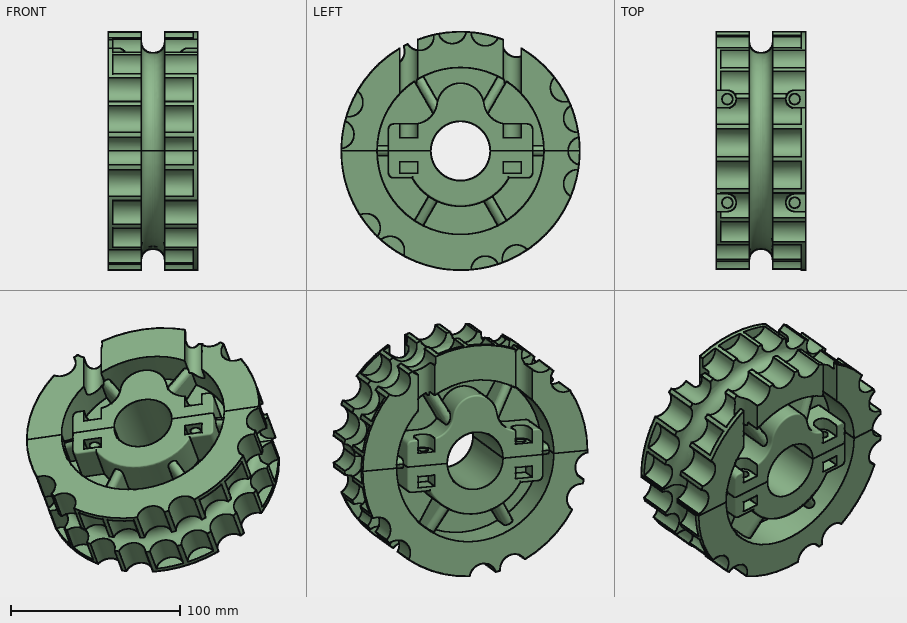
import cadquery as cq
import math


rim_radius = 70.5
wheel_width = 53.0
rim_inner_radius = 49.4
half_width = wheel_width / 2

groove_width = 13.7
groove_floor_width = 1.4
groove_floor_radius = 58.1
groove_corner_radius = (groove_width - groove_floor_width) / 2

pocket_count = 23
pocket_pitch = 360 / pocket_count
pocket_radius = 8.5
pocket_floor_radius = 63.6
pocket_wall = 2.8
pockets_closed_at_minus_x = (3, 4, 8, 9, 12, 13, 16, 17, 20, 21)

web_thickness = 8.0
rib_count = 6
first_rib_angle = 30
rib_width = 5.9
rib_inner_radius = 22.5
rib_outer_radius = 50.8
rib_inner_length = 47.8
rib_outer_length = 36.1

bore_radius = 17.5
hub_lower_radius = 32.7
hub_top = 40.0
hub_bump_radius = 14.0
ear_half_span = 42.6
ear_half_height = 16.0
ear_corner_radius = 3.0
hub_edge_fillet = 1.0

bolt_y = 30.6
bolt_x = 19.9
bolt_hole_diameter = 6.3
bolt_slot_width = 10.5
bolt_seat_height = 7.9
nut_slot_top = -6.5
nut_slot_bottom = -13.3

cut_clearance = 1.4


def disc(radius, thickness):
    """Disc on the wheel axis, centred on X = 0."""
    return cq.Workplane("YZ").circle(radius).extrude(thickness / 2, both=True)


def make_groove():
    """Ring of material to remove, turned about the X axis."""
    side = groove_width / 2
    floor = groove_floor_width / 2
    corner_top = groove_floor_radius + groove_corner_radius
    outside = rim_radius + cut_clearance
    bend = groove_corner_radius * math.sqrt(0.5)
    mid_x = floor + bend
    mid_radius = corner_top - bend
    return (
        cq.Workplane("XY")
        .moveTo(-side, outside)
        .lineTo(-side, corner_top)
        .threePointArc((-mid_x, mid_radius), (-floor, groove_floor_radius))
        .lineTo(floor, groove_floor_radius)
        .threePointArc((mid_x, mid_radius), (side, corner_top))
        .lineTo(side, outside)
        .close()
        .revolve(360, (0, 0, 0), (1, 0, 0))
    )


def make_pocket_cutter(index):
    """Round tooth pocket, open at one face and closed by a wall at the other."""
    centre_radius = pocket_floor_radius + pocket_radius
    start = -half_width
    if index in pockets_closed_at_minus_x:
        start += pocket_wall
    return (
        cq.Workplane("YZ", origin=(start, 0, 0))
        .center(-centre_radius, 0)
        .circle(pocket_radius)
        .extrude(wheel_width - pocket_wall)
        .rotate((0, 0, 0), (1, 0, 0), -index * pocket_pitch)
    )


def make_rim():
    rim = disc(rim_radius, wheel_width).cut(disc(rim_inner_radius, wheel_width))
    rim = rim.cut(make_groove())
    for index in range(pocket_count):
        rim = rim.cut(make_pocket_cutter(index))
    return rim


def make_rib(angle):
    """Radial rib with rounded crests that slope down from the hub to the rim."""
    return (
        cq.Workplane("XY", origin=(0, 0, rib_inner_radius))
        .slot2D(rib_inner_length, rib_width)
        .workplane(offset=rib_outer_radius - rib_inner_radius)
        .slot2D(rib_outer_length, rib_width)
        .loft(ruled=True)
        .rotate((0, 0, 0), (1, 0, 0), angle)
    )


def make_hub():
    """Hub with two clamping ears, a round lower half and a bump on top."""
    ears = (
        cq.Workplane("YZ")
        .rect(2 * ear_half_span, 2 * ear_half_height)
        .extrude(half_width, both=True)
        .edges("|X")
        .fillet(ear_corner_radius)
    )
    lower_round = (
        cq.Workplane("YZ")
        .moveTo(-hub_lower_radius, 0)
        .threePointArc((0, -hub_lower_radius), (hub_lower_radius, 0))
        .close()
        .extrude(half_width, both=True)
    )

    crown_z = hub_top - hub_bump_radius
    flank_z = ear_half_height + hub_bump_radius
    flank_y = math.sqrt((2 * hub_bump_radius) ** 2 - (flank_z - crown_z) ** 2)
    blend_y = flank_y / 2
    blend_z = (crown_z + flank_z) / 2
    bend = hub_bump_radius * math.sqrt(0.5)
    flank_mid_y = flank_y - bend
    flank_mid_z = flank_z - bend
    bump = (
        cq.Workplane("YZ")
        .moveTo(-flank_y, 0)
        .lineTo(-flank_y, ear_half_height)
        .threePointArc((-flank_mid_y, flank_mid_z), (-blend_y, blend_z))
        .threePointArc((0, hub_top), (blend_y, blend_z))
        .threePointArc((flank_mid_y, flank_mid_z), (flank_y, ear_half_height))
        .lineTo(flank_y, 0)
        .close()
        .extrude(half_width, both=True)
    )
    hub = ears.union(lower_round).union(bump).clean()
    return hub.faces("<X or >X").edges().fillet(hub_edge_fillet)


def make_wheel():
    """Whole wheel before it is split and drilled for the bolts."""
    wheel = make_rim().union(disc(rim_inner_radius, web_thickness))
    wheel = wheel.union(make_hub())
    for index in range(rib_count):
        wheel = wheel.union(make_rib(first_rib_angle + index * 360 / rib_count))
    return wheel.cut(disc(bore_radius, wheel_width))


def make_slot_block(x_side, y_side, reach, bottom, top):
    """Square slot that runs in from beyond the wheel face to the distance reach from X = 0."""
    length = half_width + cut_clearance - reach
    return (
        cq.Workplane("XY", origin=(x_side * (reach + length / 2), y_side * bolt_y, bottom))
        .rect(length, bolt_slot_width)
        .extrude(top - bottom)
    )


def make_bolt_bore(x_side, y_side, diameter, bottom, top):
    """Upright cylinder on a bolt axis."""
    return (
        cq.Workplane("XY", origin=(x_side * bolt_x, y_side * bolt_y, bottom))
        .circle(diameter / 2)
        .extrude(top - bottom)
    )


def cut_bolt_seat(wheel, x_side, y_side):
    """Round-ended head slot, square nut slot and the bolt hole that joins them."""
    nut_slot_reach = bolt_x - bolt_slot_width / 2
    head_slot = make_slot_block(x_side, y_side, bolt_x, bolt_seat_height, rim_radius)
    head_slot_end = make_bolt_bore(x_side, y_side, bolt_slot_width, bolt_seat_height, rim_radius)
    nut_slot = make_slot_block(x_side, y_side, nut_slot_reach, nut_slot_bottom, nut_slot_top)
    bolt_hole = make_bolt_bore(x_side, y_side, bolt_hole_diameter, nut_slot_top, bolt_seat_height)
    return wheel.cut(head_slot.union(head_slot_end)).cut(nut_slot).cut(bolt_hole)


def half_space(z_side):
    """Block that covers the wheel on one side of the split plane."""
    size = 2 * (rim_radius + cut_clearance)
    return cq.Workplane("XY").rect(size, size).extrude(z_side * size / 2)


wheel = make_wheel()
for x_side in (-1, 1):
    for y_side in (-1, 1):
        wheel = cut_bolt_seat(wheel, x_side, y_side)

upper_half = wheel.intersect(half_space(1))
lower_half = wheel.intersect(half_space(-1))

result = cq.Compound.makeCompound([upper_half.val(), lower_half.val()])